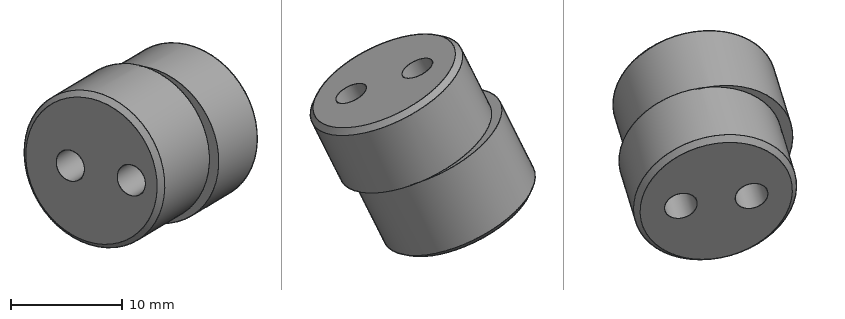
import cadquery as cq

disc_diameter = 15.0
front_length = 8.0
rear_length = 7.0
eccentricity = 1.0
end_chamfer = 0.5
hole_diameter = 3.0
hole_spacing = 6.5

total_length = front_length + rear_length


def cylinder_along_y(diameter, length, center_x, start_y):
    """Cylinder running toward +Y from start_y, with its axis at (center_x, Z = 0)."""
    return cq.Workplane(
        obj=cq.Solid.makeCylinder(
            diameter / 2, length, cq.Vector(center_x, start_y, 0), cq.Vector(0, 1, 0)
        )
    )


front_body = cylinder_along_y(disc_diameter, front_length, 0, 0)
front_body = front_body.faces("<Y").edges().chamfer(end_chamfer)

rear_body = cylinder_along_y(disc_diameter, rear_length, eccentricity, front_length)
rear_body = rear_body.faces(">Y").edges().chamfer(end_chamfer)

result = front_body.union(rear_body)

for side in (-1, 1):
    hole_x = eccentricity + side * hole_spacing / 2
    result = result.cut(cylinder_along_y(hole_diameter, total_length, hole_x, 0))